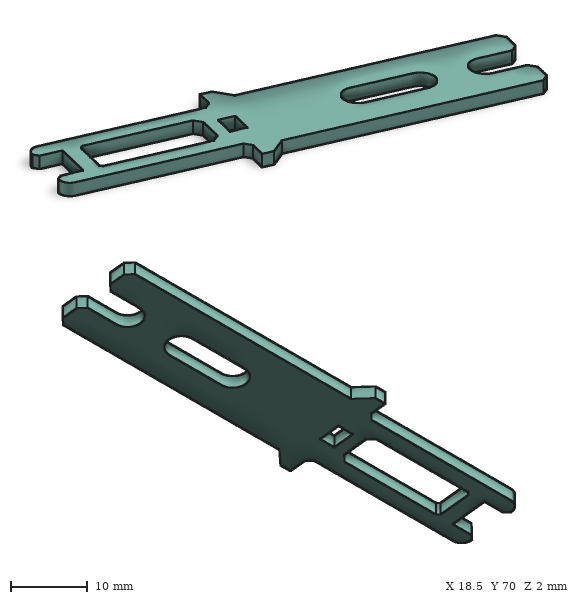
import cadquery as cq

LENGTH = 70.0
THICKNESS = 2.0
TOP_Y = LENGTH / 2
BOTTOM_Y = -LENGTH / 2

BODY_WIDTH = 14.0
FORK_CHAMFER = 1.0

WING_SPAN = 18.5
WING_BOTTOM_Y = -8.0
WING_TIP_HEIGHT = 1.75
SHOULDER_HEIGHT = (WING_SPAN - BODY_WIDTH) / 2
WING_TIP_Y = WING_BOTTOM_Y + WING_TIP_HEIGHT
WAIST_CHAMFER = 0.9

FRAME_WIDTH = 11.2
LEG_WIDTH = 2.5
WINDOW_WIDTH = FRAME_WIDTH - 2 * LEG_WIDTH
LEG_LENGTH = 4.0
LEG_OUTER_RADIUS = 1.65
LEG_INNER_CHAMFER = 0.7

SLOT_WIDTH = 4.5
SLOT_RADIUS = SLOT_WIDTH / 2
NOTCH_DEPTH = 8.25
SLOT_LENGTH = 13.5
SLOT_CENTER_Y = 15.0

HOLE_WIDTH = 3.6
HOLE_HEIGHT = 2.5
HOLE_CENTER_Y = -7.75

WINDOW_TOP_Y = -11.0
CROSSBAR_HEIGHT = 2.5
WINDOW_BOTTOM_Y = BOTTOM_Y + LEG_LENGTH + CROSSBAR_HEIGHT
WINDOW_TOP_CHAMFER = 1.0
WINDOW_BOTTOM_CHAMFER = 0.4


def half_outline():
    """Right half (X >= 0) of the plate outline, closed along the Y axis."""
    body_x = BODY_WIDTH / 2
    wing_x = WING_SPAN / 2
    frame_x = FRAME_WIDTH / 2
    leg_x = WINDOW_WIDTH / 2
    notch_bottom_y = TOP_Y - NOTCH_DEPTH
    return (
        cq.Workplane("XY")
        .moveTo(0, notch_bottom_y)
        .radiusArc((SLOT_RADIUS, notch_bottom_y + SLOT_RADIUS), -SLOT_RADIUS)
        .lineTo(SLOT_RADIUS, TOP_Y - FORK_CHAMFER)
        .lineTo(SLOT_RADIUS + FORK_CHAMFER, TOP_Y)
        .lineTo(body_x - FORK_CHAMFER, TOP_Y)
        .lineTo(body_x, TOP_Y - FORK_CHAMFER)
        .lineTo(body_x, WING_TIP_Y + SHOULDER_HEIGHT)
        .lineTo(wing_x, WING_TIP_Y)
        .lineTo(wing_x, WING_BOTTOM_Y)
        .lineTo(frame_x + WAIST_CHAMFER, WING_BOTTOM_Y)
        .lineTo(frame_x, WING_BOTTOM_Y - WAIST_CHAMFER)
        .lineTo(frame_x, BOTTOM_Y + LEG_OUTER_RADIUS)
        .radiusArc((frame_x - LEG_OUTER_RADIUS, BOTTOM_Y), LEG_OUTER_RADIUS)
        .lineTo(leg_x + LEG_INNER_CHAMFER, BOTTOM_Y)
        .lineTo(leg_x, BOTTOM_Y + LEG_INNER_CHAMFER)
        .lineTo(leg_x, BOTTOM_Y + LEG_LENGTH)
        .lineTo(0, BOTTOM_Y + LEG_LENGTH)
        .close()
    )


def plate():
    """Solid plate: the half outline extruded and mirrored across the YZ plane."""
    half = half_outline().extrude(THICKNESS)
    return half.union(half.mirror("YZ")).clean()


def slot_cutter():
    """Round-ended slot running along Y."""
    return cq.Workplane("XY").center(0, SLOT_CENTER_Y).slot2D(SLOT_LENGTH, SLOT_WIDTH, 90).extrude(THICKNESS)


def hole_cutter():
    """Small rectangular hole at the waist."""
    return cq.Workplane("XY").center(0, HOLE_CENTER_Y).rect(HOLE_WIDTH, HOLE_HEIGHT).extrude(THICKNESS)


def window_cutter():
    """Long window with chamfered corners, larger at the top than at the bottom."""
    height = WINDOW_TOP_Y - WINDOW_BOTTOM_Y
    center_y = (WINDOW_TOP_Y + WINDOW_BOTTOM_Y) / 2
    block = cq.Workplane("XY").center(0, center_y).rect(WINDOW_WIDTH, height).extrude(THICKNESS)
    block = block.faces(">Y").edges("|Z").chamfer(WINDOW_TOP_CHAMFER)
    return block.faces("<Y").edges("|Z").chamfer(WINDOW_BOTTOM_CHAMFER)


result = plate().cut(slot_cutter()).cut(hole_cutter()).cut(window_cutter())